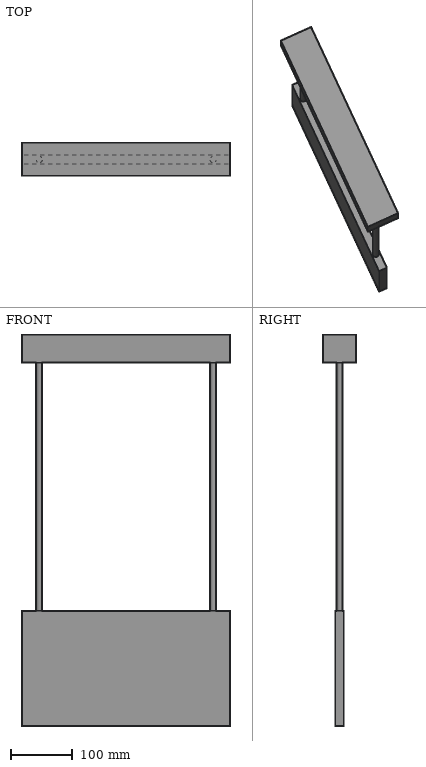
import cadquery as cq

width = 337.0
height = 633.5

bar_depth = 54.0
bar_height = 45.5

panel_thickness = 14.0
panel_height = 186.0

rod_diameter = 10.0
rod_spacing = 281.0

bar_bottom = height - bar_height
rod_length = bar_bottom - panel_height


def centred_block(depth, block_height, bottom):
    """Full-width block centred on X and Y, standing on the given level."""
    return (
        cq.Workplane("XY")
        .workplane(offset=bottom)
        .box(width, depth, block_height, centered=(True, True, False))
    )


panel = centred_block(panel_thickness, panel_height, 0)
bar = centred_block(bar_depth, bar_height, bar_bottom)

rods = (
    cq.Workplane("XY")
    .workplane(offset=panel_height)
    .pushPoints([(side * rod_spacing / 2, 0) for side in (-1, 1)])
    .circle(rod_diameter / 2)
    .extrude(rod_length)
)

result = panel.union(rods).union(bar)